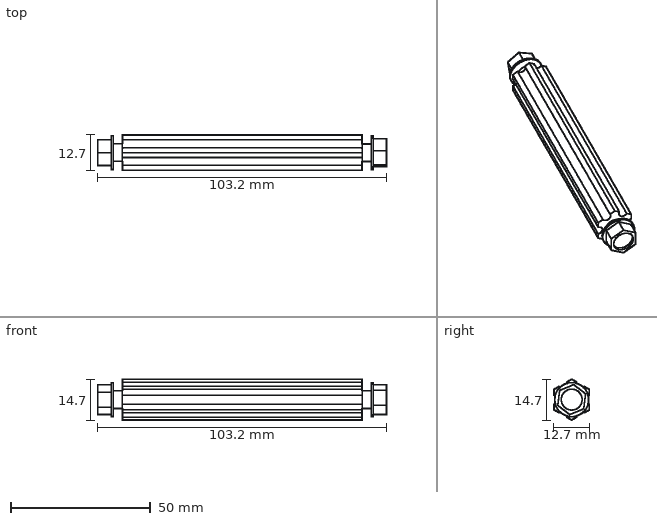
import cadquery as cq
import math

hex_sides = 6

bar_length = 85.725
bar_across_flats = 12.7
bar_across_corners = bar_across_flats / math.cos(math.pi / hex_sides)
flute_diameter = 3.175

overall_length = 103.25
head_across_flats = 9.35
head_across_corners = head_across_flats / math.cos(math.pi / hex_sides)
head_length = 4.826
recess_diameter = 7.46
recess_depth = 1.0
flange_diameter = 12.19
flange_thickness = 0.762
neck_diameter = 6.35
neck_length = (overall_length - bar_length) / 2 - head_length - flange_thickness
far_bolt_turn = 7.5


def make_bar():
    """Hexagonal bar with corners at +Z and -Z and a half-round flute along the middle of each flat."""
    hexagon = (
        cq.Workplane("YZ", origin=(-bar_length / 2, 0, 0))
        .transformed(rotate=(0, 0, 90))
        .polygon(hex_sides, bar_across_corners)
        .extrude(bar_length)
    )
    flutes = (
        cq.Workplane("YZ", origin=(-bar_length / 2, 0, 0))
        .polarArray(bar_across_flats / 2, 0, 360, hex_sides)
        .circle(flute_diameter / 2)
        .extrude(bar_length)
    )
    return hexagon.cut(flutes)


def make_bolt():
    """Bolt at the -X end: recessed hex head, round flange and a neck that meets the bar's end face."""
    head = (
        cq.Workplane("YZ", origin=(-overall_length / 2, 0, 0))
        .transformed(rotate=(0, 0, 90))
        .polygon(hex_sides, head_across_corners)
        .extrude(head_length)
    )
    flanged = head.faces(">X").workplane().circle(flange_diameter / 2).extrude(flange_thickness)
    bolt = flanged.faces(">X").workplane().circle(neck_diameter / 2).extrude(neck_length)
    return bolt.faces("<X").workplane().circle(recess_diameter / 2).cutBlind(-recess_depth)


bar = make_bar()
bolts = []
for half_turn, extra_turn in ((0, 0), (180, far_bolt_turn)):
    placed_bolt = (
        make_bolt()
        .rotate((0, 0, 0), (0, 0, 1), half_turn)
        .rotate((0, 0, 0), (1, 0, 0), -extra_turn)
    )
    bolts.append(placed_bolt)

result = cq.Compound.makeCompound([bar.val(), *[bolt.val() for bolt in bolts]])